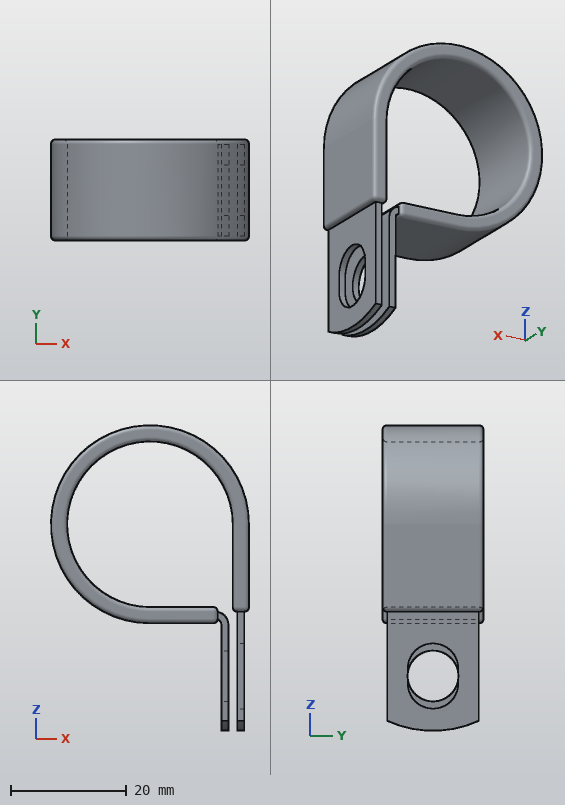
import cadquery as cq
import math


bore_radius = 14.26
strap_thickness = 1.25
strap_width = 15.8
cushion_width = 17.46
cushion_thickness = 0.792
side_cushion_end = -15.08
bottom_cushion_end = 11.7
leg_gap = 1.5
bend_inner_radius = 1.05
leg_tip = -35.644
tip_radius = 18.9
hole_diameter = 8.73
hole_height = -26.17
slot_length = 11.25

strap_inner_radius = bore_radius + cushion_thickness
strap_outer_radius = strap_inner_radius + strap_thickness
cushion_outer_radius = strap_outer_radius + cushion_thickness
bend_outer_radius = bend_inner_radius + strap_thickness
front_leg_outer = strap_inner_radius - leg_gap
front_leg_inner = front_leg_outer - strap_thickness
bend_x = front_leg_outer - bend_outer_radius
bend_z = -strap_inner_radius - bend_outer_radius


def polar_point(center_x, center_z, radius, degrees):
    angle = math.radians(degrees)
    return (center_x + radius * math.cos(angle), center_z + radius * math.sin(angle))


def loop_band(inner_radius, outer_radius, side_end, bottom_end, width):
    """Three-quarter ring with a straight upright side at +X and a straight arm at the bottom."""
    outline = (
        cq.Workplane("XZ")
        .moveTo(outer_radius, side_end)
        .lineTo(outer_radius, 0)
        .threePointArc(polar_point(0, 0, outer_radius, 135), (0, -outer_radius))
        .lineTo(bottom_end, -outer_radius)
        .lineTo(bottom_end, -inner_radius)
        .lineTo(0, -inner_radius)
        .threePointArc(polar_point(0, 0, inner_radius, 135), (inner_radius, 0))
        .lineTo(inner_radius, side_end)
        .close()
    )
    return outline.extrude(width / 2, both=True)


def make_cushion():
    """Soft wrap, rounded on every edge so that it covers the strap evenly."""
    middle_radius = (bore_radius + cushion_outer_radius) / 2
    side_end_center = (middle_radius, 0, side_cushion_end)
    bottom_end_center = (bottom_cushion_end, 0, -middle_radius)
    band = loop_band(
        bore_radius, cushion_outer_radius, side_cushion_end, bottom_cushion_end, cushion_width
    )
    side_edges = band.faces("<Y or >Y").edges()
    side_end_corners = band.faces(cq.NearestToPointSelector(side_end_center)).edges("|Y")
    bottom_end_corners = band.faces(cq.NearestToPointSelector(bottom_end_center)).edges("|Y")
    rounded_edges = side_edges.add(side_end_corners).add(bottom_end_corners)
    return rounded_edges.fillet(cushion_thickness)


def make_front_leg():
    """Bottom arm of the strap, bent down into the front mounting leg."""
    outline = (
        cq.Workplane("XZ")
        .moveTo(0, -strap_inner_radius)
        .lineTo(bend_x, -strap_inner_radius)
        .threePointArc(polar_point(bend_x, bend_z, bend_outer_radius, 45), (front_leg_outer, bend_z))
        .lineTo(front_leg_outer, leg_tip)
        .lineTo(front_leg_inner, leg_tip)
        .lineTo(front_leg_inner, bend_z)
        .threePointArc(polar_point(bend_x, bend_z, bend_inner_radius, 45), (bend_x, -strap_outer_radius))
        .lineTo(0, -strap_outer_radius)
        .close()
    )
    return outline.extrude(strap_width / 2, both=True)


def make_back_leg():
    """Upright side of the strap, continued straight down into the back mounting leg."""
    return cq.Workplane("XY").box(
        strap_thickness, strap_width, -leg_tip, centered=(False, True, False)
    ).translate((strap_inner_radius, 0, leg_tip))


def make_leg_trim():
    """Volume seen along X that holds the legs: straight sides and a curved tip."""
    half_width = strap_width / 2
    tip_rise = tip_radius - math.sqrt(tip_radius**2 - half_width**2)
    outline = (
        cq.Workplane("YZ")
        .moveTo(-half_width, 0)
        .lineTo(-half_width, leg_tip + tip_rise)
        .threePointArc((0, leg_tip), (half_width, leg_tip + tip_rise))
        .lineTo(half_width, 0)
        .close()
    )
    return outline.extrude(cushion_outer_radius)


def make_bolt_hole():
    """Round hole through the front leg."""
    return (
        cq.Workplane("YZ")
        .center(0, hole_height)
        .circle(hole_diameter / 2)
        .extrude(strap_inner_radius)
    )


def make_bolt_slot():
    """Upright slot through the back leg, as wide as the round hole and centered on it."""
    return (
        cq.Workplane("YZ")
        .center(0, hole_height)
        .slot2D(slot_length, hole_diameter, 90)
        .extrude(cushion_outer_radius)
    )


front_leg = make_front_leg().cut(make_bolt_hole())
back_leg = make_back_leg().cut(make_bolt_slot())
legs = front_leg.union(back_leg).intersect(make_leg_trim())
result = make_cushion().union(legs)